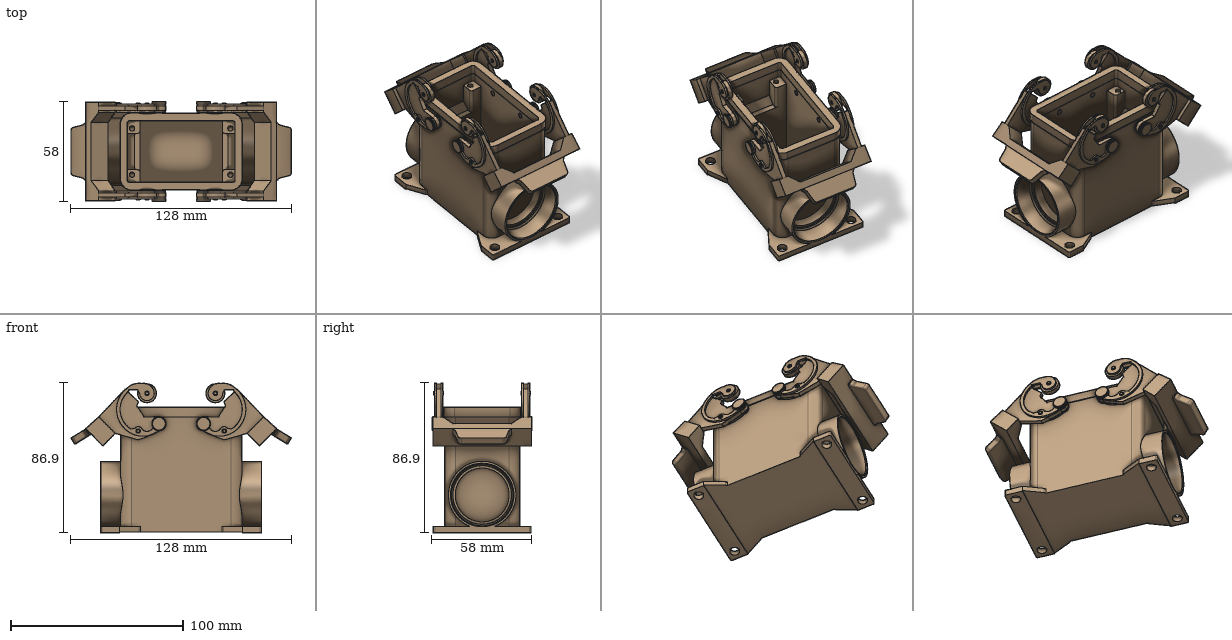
import cadquery as cq
import math

BODY_X = 70.4
BODY_Y = 43.6
BODY_BASE_Z = 0.5
BODY_CORNER = 6.3
COLLAR_X = 70.9
COLLAR_Y = 44.5
COLLAR_Z = 67.3
TOP_Z = 73.0

MOUTH_X = 62.7
MOUTH_Y = 35.8
MOUTH_FLOOR_Z = 67.0
CAVITY_X = 62.5
CAVITY_Y = 35.6
CAVITY_FLOOR_Z = 4.4
CAVITY_CORNER = 1.5
POST_SIZE = 7.3
POST_TOP_Z = 61.4
POST_CORNER = 1.5
SCREW_X = 28.5
SCREW_Y = 13.5
SCREW_RADIUS = 1.5
SCREW_DEPTH = 10.2
SCREW_TIP = 0.9
LEDGE_TOP_Z = 45.6
LEDGE_SLOPE = 4.1

FLANGE_END_X = 46.7
FLANGE_SHOULDER_X = 35.7
FLANGE_TIP_X = 23.7
FLANGE_TIP_CHAMFER = 0.8
FLANGE_HALF_Y = 28.4
FLANGE_TOP_Z = 3.8
FLANGE_CORNER = 0.9
BOLT_X = 41.6
BOLT_Y = 23.0
BOLT_RADIUS = 2.8

ENTRY_Z = 22.0
ENTRY_RADIUS = 19.6
ENTRY_BORE_RADIUS = 17.9
ENTRY_SEAT_RADIUS = 17.0
ENTRY_INNER_RADIUS = 15.6
ENTRY_SEAT_X = 36.3
ENTRY_STEP_X = 34.5
ENTRY_BOTTOM_X = 29.2
ENTRY_CHAMFER = 0.5

CORE_INNER_Y = 23.9
CORE_OUTER_Y = 26.5
CAM_INNER_Y = 22.8
CAM_OUTER_Y = CORE_OUTER_Y + CORE_INNER_Y - CAM_INNER_Y
PIVOT = (12.9, 63.4)
PIVOT_RADIUS = 4.1
PIVOT_GROOVE_RADIUS = 3.7
PIVOT_STEM_RADIUS = 2.2
PIVOT_SPAN_Y = 58.0
PIVOT_END_Y = PIVOT_SPAN_Y / 2
PIVOT_CHAMFER = 0.4
PIVOT_DIMPLE_RADIUS = 1.5
PIVOT_DIMPLE_DEPTH = 0.3
ROLLER = (19.8, 81.0)
ROLLER_RADIUS = 5.5
HOOK_RADIUS = 4.2
RIVET = (25.0, 59.1)
RIVET_RADIUS = 1.3
RIVET_INNER_Y = 22.5
RIVET_OUTER_Y = 28.2
RIVET_CHAMFER = 0.4
CAM_CENTER = (21.9, 71.7)
CAM_RADIUS = 15.6
CAM_INNER_RADIUS = 13.6

BAR_TOP = (47.9, 67.3)
BAR_OUTER = (55.4, 60.5)
BAR_BOTTOM = (45.5, 50.4)
BAR_INNER = (38.3, 57.7)
BAR_HALF_Y = 28.7
NOTCH_TILT = 45.0
NOTCH_DEPTH = 5.9
NOTCH_MOUTH_HALF_Y = 22.8
NOTCH_FLOOR_HALF_Y = 16.9
TAB_TIP = (64.0, 55.0)
TAB_TILT = 32.0
TAB_LENGTH = 12.8
TAB_THICKNESS = 4.4
TAB_ROOT_HALF_Y = 17.0
TAB_END_HALF_Y = 13.7
TAB_ROOT_X = 10.1
TAB_FLARE_X = 8.2
TAB_FLARE_HALF_Y = 15.5
TAB_CORNER = 1.9
TAB_EDGE = 0.5


def block(x_size, y_size, bottom, top, corner):
    """Upright block centred on Z with rounded vertical edges."""
    base = cq.Workplane("XY").workplane(offset=bottom)
    return base.rect(x_size, y_size).extrude(top - bottom).edges("|Z").fillet(corner)


def plate(profile, y_start, y_end):
    """Extrude an XZ profile from y_start to y_end on the -Y side."""
    return profile.extrude(y_end - y_start).translate((0, -y_start, 0))


def pin(center, radius, y_start, y_end):
    """Cylinder along Y on the -Y side."""
    return plate(cq.Workplane("XZ").center(*center).circle(radius), y_start, y_end)


def on_circle(center, radius, degrees):
    """Point on a circle, the angle measured from its first axis."""
    angle = math.radians(degrees)
    return (center[0] + radius * math.cos(angle), center[1] + radius * math.sin(angle))


def both_ends(shape):
    """Shape together with its mirror image across X = 0."""
    return shape.union(shape.mirror("YZ"))


def both_sides(shape):
    """Shape together with its mirror image across Y = 0."""
    return shape.union(shape.mirror("XZ"))


def make_shell():
    """Solid housing block with a slightly wider collar round its mouth."""
    body = block(BODY_X, BODY_Y, BODY_BASE_Z, TOP_Z, BODY_CORNER)
    collar = block(COLLAR_X, COLLAR_Y, COLLAR_Z, TOP_Z, BODY_CORNER)
    return body.union(collar)


def make_cavity():
    """Hollow of the housing, less the ledges and posts that stay solid."""
    cavity = block(CAVITY_X, CAVITY_Y, CAVITY_FLOOR_Z, TOP_Z, CAVITY_CORNER)
    cavity = cavity.union(block(MOUTH_X, MOUTH_Y, MOUTH_FLOOR_Z, TOP_Z, CAVITY_CORNER))
    wall_x = CAVITY_X / 2
    ledge_x = wall_x - POST_SIZE
    ledge = (
        cq.Workplane("XZ")
        .moveTo(ledge_x, CAVITY_FLOOR_Z)
        .lineTo(wall_x, CAVITY_FLOOR_Z)
        .lineTo(wall_x, LEDGE_TOP_Z + LEDGE_SLOPE)
        .lineTo(wall_x - LEDGE_SLOPE, LEDGE_TOP_Z)
        .lineTo(ledge_x, LEDGE_TOP_Z)
        .close()
        .extrude(CAVITY_Y / 2, both=True)
    )
    post = (
        cq.Workplane("XY")
        .box(POST_SIZE, POST_SIZE, POST_TOP_Z - CAVITY_FLOOR_Z, centered=False)
        .edges("|Z and <X and <Y")
        .fillet(POST_CORNER)
        .translate((ledge_x, CAVITY_Y / 2 - POST_SIZE, CAVITY_FLOOR_Z))
    )
    return cavity.cut(both_ends(ledge)).cut(both_ends(both_sides(post)))


def make_screw_holes():
    """Drilled holes in the post tops, each with a conical bottom."""
    hole = (
        cq.Workplane("XZ")
        .moveTo(0, POST_TOP_Z)
        .lineTo(SCREW_RADIUS, POST_TOP_Z)
        .lineTo(SCREW_RADIUS, POST_TOP_Z - SCREW_DEPTH)
        .lineTo(0, POST_TOP_Z - SCREW_DEPTH - SCREW_TIP)
        .close()
        .revolve(360, (0, 0, 0), (0, 1, 0))
    )
    return both_ends(both_sides(hole.translate((SCREW_X, SCREW_Y, 0))))


def make_flange():
    """Foot plate at the +X end, its wings tapering back into the body sides."""
    side_y = BODY_Y / 2
    half = (
        cq.Workplane("XY")
        .moveTo(FLANGE_TIP_X, 0)
        .lineTo(FLANGE_TIP_X, side_y)
        .lineTo(FLANGE_TIP_X + FLANGE_TIP_CHAMFER, side_y + FLANGE_TIP_CHAMFER)
        .lineTo(FLANGE_SHOULDER_X, FLANGE_HALF_Y)
        .lineTo(FLANGE_END_X, FLANGE_HALF_Y)
        .lineTo(FLANGE_END_X, 0)
        .close()
        .extrude(FLANGE_TOP_Z)
        .edges("|Z and >X and >Y")
        .fillet(FLANGE_CORNER)
    )
    relief = cq.Workplane("XY").box(2 * FLANGE_SHOULDER_X, 2 * FLANGE_HALF_Y, 2 * BODY_BASE_Z)
    bolt_holes = cq.Workplane("XY").pushPoints([(BOLT_X, BOLT_Y), (BOLT_X, -BOLT_Y)])
    return both_sides(half).cut(relief).cut(bolt_holes.circle(BOLT_RADIUS).extrude(FLANGE_TOP_Z))


def make_entry():
    """Tube from the bottom of the bore out to the flange end."""
    base = cq.Workplane("YZ").workplane(offset=ENTRY_BOTTOM_X)
    return base.center(0, ENTRY_Z).circle(ENTRY_RADIUS).extrude(FLANGE_END_X - ENTRY_BOTTOM_X)


def make_entry_bore():
    """Blind bore narrowing through a coned seat and a square step, chamfered at its mouth."""
    cone_length = ENTRY_BORE_RADIUS - ENTRY_SEAT_RADIUS
    return (
        cq.Workplane("XY")
        .moveTo(ENTRY_BOTTOM_X, 0)
        .lineTo(ENTRY_BOTTOM_X, ENTRY_INNER_RADIUS)
        .lineTo(ENTRY_STEP_X, ENTRY_INNER_RADIUS)
        .lineTo(ENTRY_STEP_X, ENTRY_SEAT_RADIUS)
        .lineTo(ENTRY_SEAT_X - cone_length, ENTRY_SEAT_RADIUS)
        .lineTo(ENTRY_SEAT_X, ENTRY_BORE_RADIUS)
        .lineTo(FLANGE_END_X - ENTRY_CHAMFER, ENTRY_BORE_RADIUS)
        .lineTo(FLANGE_END_X, ENTRY_BORE_RADIUS + ENTRY_CHAMFER)
        .lineTo(FLANGE_END_X, 0)
        .close()
        .revolve(360, (0, 0, 0), (1, 0, 0))
        .translate((0, 0, ENTRY_Z))
    )


def make_core():
    """Middle plate of an arm, from the bar to the pivot."""
    outline = [
        BAR_TOP,
        (32.5, 83.5),
        (24.7, 76.0),
        (25.7, 73.7),
        (21.5, COLLAR_Z),
        (PIVOT[0], PIVOT[1] + PIVOT_RADIUS),
        (PIVOT[0], PIVOT[1] - PIVOT_RADIUS),
        (20.6, 55.5),
        (25.0, 54.0),
        BAR_INNER,
    ]
    core = plate(cq.Workplane("XZ").polyline(outline).close(), CORE_INNER_Y, CORE_OUTER_Y)
    return core.union(pin(ROLLER, ROLLER_RADIUS, CORE_INNER_Y, CORE_OUTER_Y))


def make_cams():
    """C-shaped cam plates on both faces of the core, ending in a hook round the roller."""
    profile = (
        cq.Workplane("XZ")
        .moveTo(*on_circle(PIVOT, PIVOT_RADIUS, -90))
        .threePointArc(on_circle(CAM_CENTER, CAM_RADIUS, -75), on_circle(CAM_CENTER, CAM_RADIUS, -45))
        .threePointArc(on_circle(CAM_CENTER, CAM_RADIUS, 0), on_circle(CAM_CENTER, CAM_RADIUS, 53))
        .threePointArc((27.1, 86.5), (22.9, 86.8))
        .threePointArc((17.7, 85.2), on_circle(ROLLER, HOOK_RADIUS, 180))
        .threePointArc(on_circle(ROLLER, HOOK_RADIUS, -90), on_circle(ROLLER, HOOK_RADIUS, 0))
        .lineTo(25.3, 83.1)
        .lineTo(30.5, 83.1)
        .lineTo(*on_circle(CAM_CENTER, CAM_INNER_RADIUS, 51))
        .threePointArc(
            on_circle(CAM_CENTER, CAM_INNER_RADIUS, 0),
            on_circle(CAM_CENTER, CAM_INNER_RADIUS, -57),
        )
        .lineTo(26.9, 60.7)
        .threePointArc((25.0, 61.7), (22.8, 60.4))
        .threePointArc((20.0, 58.9), (17.0, 60.2))
        .lineTo(*PIVOT)
        .close()
    )
    inner = plate(profile, CAM_INNER_Y, CORE_INNER_Y)
    return inner.union(inner.translate((0, CAM_INNER_Y - CORE_OUTER_Y, 0)))


def make_pins():
    """Grooved pivot pin into the housing wall, and the rivets through arm and roller."""
    pins = pin(PIVOT, PIVOT_STEM_RADIUS, CAVITY_Y / 2 + PIVOT_DIMPLE_DEPTH, CAM_INNER_Y)
    pins = pins.union(pin(PIVOT, PIVOT_GROOVE_RADIUS, CAM_INNER_Y, CAM_OUTER_Y))
    pins = pins.union(pin(PIVOT, PIVOT_RADIUS, CORE_INNER_Y, CORE_OUTER_Y))
    head = pin(PIVOT, PIVOT_RADIUS, CAM_OUTER_Y, PIVOT_END_Y)
    pins = pins.union(head.faces("<Y").chamfer(PIVOT_CHAMFER))
    for center in (ROLLER, RIVET):
        rivet = pin(center, RIVET_RADIUS, RIVET_INNER_Y, RIVET_OUTER_Y)
        pins = pins.union(rivet.faces("<Y or >Y").chamfer(RIVET_CHAMFER))
    return pins


def make_bar():
    """Tilted bar joining both arms, notched along its inner edge to clear the housing."""
    profile = [BAR_TOP, BAR_OUTER, BAR_BOTTOM, BAR_INNER]
    bar = cq.Workplane("XZ").polyline(profile).close().extrude(BAR_HALF_Y, both=True)
    notch = (
        cq.Workplane("XY")
        .moveTo(0, -NOTCH_MOUTH_HALF_Y)
        .lineTo(NOTCH_DEPTH, -NOTCH_FLOOR_HALF_Y)
        .lineTo(NOTCH_DEPTH, NOTCH_FLOOR_HALF_Y)
        .lineTo(0, NOTCH_MOUTH_HALF_Y)
        .close()
        .extrude(BAR_HALF_Y, both=True)
        .rotate((0, 0, 0), (0, 1, 0), NOTCH_TILT)
        .translate((BAR_TOP[0], 0, BAR_TOP[1]))
    )
    return bar.cut(notch)


def make_tab():
    """Sloping grip tab, flared where it meets the bar and round-cornered at its free end."""
    side = [(-TAB_ROOT_X, TAB_ROOT_HALF_Y), (-TAB_FLARE_X, TAB_FLARE_HALF_Y), (0, TAB_END_HALF_Y)]
    outline = [(-TAB_LENGTH, TAB_ROOT_HALF_Y)] + side
    outline += [(x, -y) for x, y in reversed(outline)]
    tab = cq.Workplane("XY").polyline(outline).close().extrude(-TAB_THICKNESS)
    for x, y in side[1:]:
        for corner_y in (y, -y):
            corner = cq.selectors.NearestToPointSelector((x, corner_y, -TAB_THICKNESS / 2))
            tab = tab.edges(corner).fillet(TAB_CORNER)
    tab = tab.faces("<Z").edges("not <X").fillet(TAB_EDGE)
    return tab.rotate((0, 0, 0), (0, 1, 0), TAB_TILT).translate((TAB_TIP[0], 0, TAB_TIP[1]))


def make_lever():
    """Locking lever at the +X end: two arms, their pins, the bar and the grip tab."""
    arm = make_core().union(make_cams()).union(make_pins())
    return both_sides(arm).union(make_bar()).union(make_tab())


shell = make_shell().union(both_ends(make_flange())).union(both_ends(make_entry()))
shell = shell.cut(make_cavity()).cut(make_screw_holes()).cut(both_ends(make_entry_bore()))
dimple = pin(PIVOT, PIVOT_DIMPLE_RADIUS, CAVITY_Y / 2, CAVITY_Y / 2 + PIVOT_DIMPLE_DEPTH)
shell = shell.cut(both_ends(both_sides(dimple)))
result = shell.union(both_ends(make_lever()))